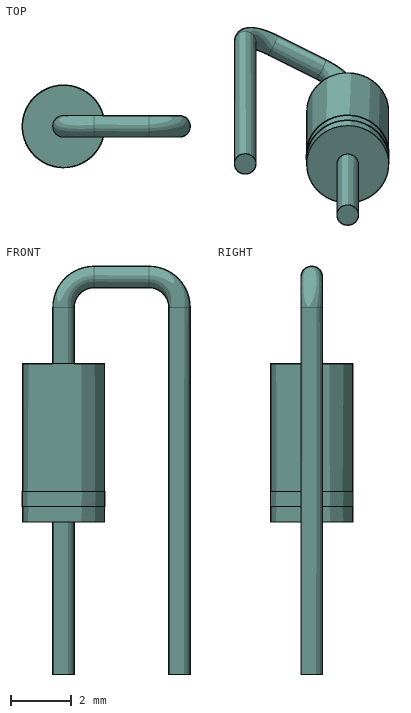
import cadquery as cq

height = 13.41
lead_spacing = 3.81

wire_diameter = 0.71
bend_radius = 1.0

body_diameter = 2.7
band_diameter = 2.72
body_bottom = 5.0
body_length = 5.2
end_length = 0.51
band_width = 0.5

band_bottom = body_bottom + end_length
band_top = band_bottom + band_width
body_top = body_bottom + body_length
wire_top = height - wire_diameter / 2
bend_start = wire_top - bend_radius


def make_sleeve(diameter, bottom, top):
    """Cylinder on the Z axis with a through hole for the wire."""
    return (
        cq.Workplane("XY", origin=(0, 0, bottom))
        .circle(diameter / 2)
        .circle(wire_diameter / 2)
        .extrude(top - bottom)
    )


def make_wire():
    """Round wire up the body axis, over two bends and down to the second foot."""
    path = (
        cq.Workplane("XZ")
        .lineTo(0, bend_start)
        .radiusArc((bend_radius, wire_top), bend_radius)
        .lineTo(lead_spacing - bend_radius, wire_top)
        .radiusArc((lead_spacing, bend_start), bend_radius)
        .lineTo(lead_spacing, 0)
    )
    return cq.Workplane("XY").circle(wire_diameter / 2).sweep(path)


main_body = make_sleeve(body_diameter, band_top, body_top)
band = make_sleeve(band_diameter, band_bottom, band_top)
end_body = make_sleeve(body_diameter, body_bottom, band_bottom)
wire = make_wire()

result = cq.Compound.makeCompound([main_body.val(), band.val(), end_body.val(), wire.val()])